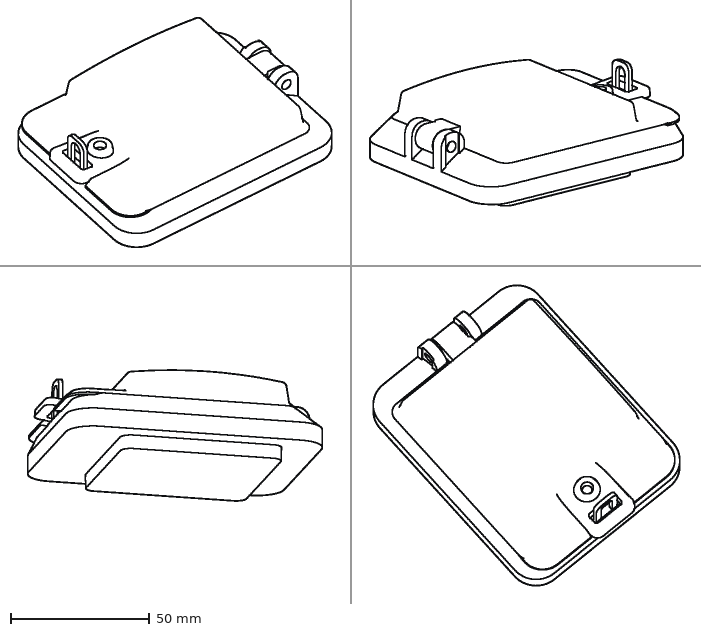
import cadquery as cq
import math

RIM_WIDTH = 75.2
RIM_LENGTH = 95.2
RIM_HEIGHT = 6.8
RIM_CORNER = 10.1
BACK_Y = RIM_LENGTH / 2
FRONT_Y = -RIM_LENGTH / 2
BASE_TOP_Z = 13.5
BASE_TOP_HALF_WIDTH = 34.3
BASE_TOP_FRONT_Y = -44.6
BASE_TOP_BACK_Y = 37.0
BASE_TOP_FRONT_CORNER = 9.5
BACK_CORNER = 4.1

SPIGOT_WIDTH = 58.5
SPIGOT_FRONT_Y = -26.9
SPIGOT_BACK_Y = 33.2
SPIGOT_DEPTH = 5.0
SPIGOT_CORNER = 4.0
SPIGOT_DRAFT = 2

HINGE_Y = 42.4
HINGE_Z = 15.0
HINGE_HOLE_DIAMETER = 4.0
EAR_INNER_X = 6.2
EAR_OUTER_X = 10.3
EAR_TOP_Z = 20.4
EAR_ROUND = 4.8
EAR_RIB_HEIGHT = 0.7
EAR_GROOVE_WIDTH = 6.1
ARM_LEFT_X = -5.2
ARM_RIGHT_X = 4.9
ARM_SHOULDER_X = 5.9
ARM_SHOULDER_Y = 38.1
ARM_TOP_Z = 19.7
ARM_RADIUS = ARM_TOP_Z - HINGE_Z
ARM_ROOT_Y = 32.4

STAPLE_WIDTH = 9.8
STAPLE_THICKNESS = 1.6
STAPLE_TOP_Z = 26.9
STAPLE_CORNER = 2.9
STAPLE_WINDOW_WIDTH = 5.2
STAPLE_WINDOW_TOP_Z = 24.9
STAPLE_FOOT_ROUND = 0.7

PLATE_FRONT_Y = FRONT_Y
PLATE_FRONT_CORNER = 8.5
LIP_Z = 12.8
PLATE_SHOULDER_Z = 14.1
PLATE_SHOULDER_INSET = 0.5
PLATE_TOP_Z = 15.7
PLATE_TOP_INSET = 2.5
PLATE_TOP_ROUND = 0.8

DOME_HALF_WIDTH = 32.2
DOME_FRONT_Y = -26.5
DOME_BACK_Y = 34.9
DOME_CORNER = 2
DOME_DRAFT = 7
DOME_TOP_Z = 25.8
DOME_CROWN_RADIUS = 186.5
DOME_TOP_ROUND = 2
DOME_FOOT_ROUND = 1.4
SEAM_TOLERANCE = 0.01

TAB_WIDTH = 19.9
TAB_TILT = 6.2
TAB_ROOT_Y = -27.3
TAB_LENGTH = 23.1
TAB_THICKNESS = 3.0
TAB_OVERLAP = 3.9
TAB_CORNER = 3.2
TAB_EDGE_ROUND = 1
SLOT_LENGTH = 12.7
SLOT_WIDTH = 4.9
SLOT_CORNER = 1
SLOT_DRAFT = 5
SLOT_Y = -43.8

BUTTON_Y = -33.7
BUTTON_FOOT_RADIUS = 4.9
BUTTON_TOP_RADIUS = 4.4
BUTTON_TOP_Z = 18.5
BUTTON_ROUND = 0.4
BUTTON_HOLE_TOP_DIAMETER = 4.5
BUTTON_HOLE_BOTTOM_DIAMETER = 3.5
BUTTON_HOLE_DEPTH = 2.5


def outline(half_width, front_y, back_y, front_corner, back_corner, z):
    """Closed wire of a rectangle whose front and back corners have their own radii."""
    diagonal = 1 - math.sqrt(0.5)
    front_mid = front_corner * diagonal
    back_mid = back_corner * diagonal
    sketch = (
        cq.Workplane("XY", origin=(0, 0, z))
        .moveTo(-half_width + front_corner, front_y)
        .lineTo(half_width - front_corner, front_y)
        .threePointArc((half_width - front_mid, front_y + front_mid), (half_width, front_y + front_corner))
        .lineTo(half_width, back_y - back_corner)
        .threePointArc((half_width - back_mid, back_y - back_mid), (half_width - back_corner, back_y))
        .lineTo(-half_width + back_corner, back_y)
        .threePointArc((-half_width + back_mid, back_y - back_mid), (-half_width, back_y - back_corner))
        .lineTo(-half_width, front_y + front_corner)
        .threePointArc((-half_width + front_mid, front_y + front_mid), (-half_width + front_corner, front_y))
        .close()
    )
    return sketch.val()


def ruled_solid(*wires):
    """Solid with straight walls through a stack of outlines."""
    return cq.Workplane(cq.Solid.makeLoft(list(wires), True))


def box(x_min, x_max, y_min, y_max, z_min, z_max):
    return cq.Workplane("XY").box(
        x_max - x_min, y_max - y_min, z_max - z_min, centered=False
    ).translate((x_min, y_min, z_min))


def hinge_bore():
    """Hinge hole, running on past the ears on both sides."""
    return (
        cq.Workplane("YZ").center(HINGE_Y, HINGE_Z)
        .circle(HINGE_HOLE_DIAMETER / 2).extrude(RIM_WIDTH / 2, both=True)
    )


def hinge_ears():
    left = box(-EAR_OUTER_X - EAR_RIB_HEIGHT, -EAR_INNER_X, BASE_TOP_BACK_Y, BACK_Y, RIM_HEIGHT, EAR_TOP_Z)
    right = box(EAR_INNER_X, EAR_OUTER_X, BASE_TOP_BACK_Y, BACK_Y, RIM_HEIGHT, EAR_TOP_Z)
    ears = left.union(right).edges("|X and >Z").fillet(EAR_ROUND)
    groove = box(
        -EAR_OUTER_X - EAR_RIB_HEIGHT, -EAR_OUTER_X,
        HINGE_Y - EAR_GROOVE_WIDTH / 2, HINGE_Y + EAR_GROOVE_WIDTH / 2,
        RIM_HEIGHT, EAR_TOP_Z,
    )
    return ears.cut(groove).cut(hinge_bore())


def padlock_staple():
    back_plane = cq.Workplane("XZ", origin=(0, BASE_TOP_FRONT_Y + STAPLE_THICKNESS, 0))
    half_width = STAPLE_WIDTH / 2
    half_foot = half_width + STAPLE_FOOT_ROUND
    corner_z = STAPLE_TOP_Z - STAPLE_CORNER
    half_top = half_width - STAPLE_CORNER
    foot_z = BASE_TOP_Z + STAPLE_FOOT_ROUND
    staple = (
        back_plane
        .moveTo(-half_foot, BASE_TOP_Z)
        .lineTo(half_foot, BASE_TOP_Z)
        .radiusArc((half_width, foot_z), STAPLE_FOOT_ROUND)
        .lineTo(half_width, corner_z)
        .radiusArc((half_top, STAPLE_TOP_Z), -STAPLE_CORNER)
        .lineTo(-half_top, STAPLE_TOP_Z)
        .radiusArc((-half_width, corner_z), -STAPLE_CORNER)
        .lineTo(-half_width, foot_z)
        .radiusArc((-half_foot, BASE_TOP_Z), STAPLE_FOOT_ROUND)
        .close()
        .extrude(STAPLE_THICKNESS)
    )
    half_window = STAPLE_WINDOW_WIDTH / 2
    arch_z = STAPLE_WINDOW_TOP_Z - half_window
    window = (
        back_plane
        .moveTo(-half_window, BASE_TOP_Z)
        .lineTo(half_window, BASE_TOP_Z)
        .lineTo(half_window, arch_z)
        .threePointArc((0, STAPLE_WINDOW_TOP_Z), (-half_window, arch_z))
        .close()
        .extrude(STAPLE_THICKNESS)
    )
    return staple.cut(window)


def make_base():
    rim_half = RIM_WIDTH / 2
    rim_top = outline(rim_half, FRONT_Y, BACK_Y, RIM_CORNER, RIM_CORNER, RIM_HEIGHT)
    rim = ruled_solid(outline(rim_half, FRONT_Y, BACK_Y, RIM_CORNER, RIM_CORNER, 0), rim_top)
    bevel = ruled_solid(
        rim_top,
        outline(
            BASE_TOP_HALF_WIDTH, BASE_TOP_FRONT_Y, BASE_TOP_BACK_Y,
            BASE_TOP_FRONT_CORNER, BACK_CORNER, BASE_TOP_Z,
        ),
    )
    spigot = (
        cq.Workplane("XY")
        .center(0, (SPIGOT_FRONT_Y + SPIGOT_BACK_Y) / 2)
        .sketch().rect(SPIGOT_WIDTH, SPIGOT_BACK_Y - SPIGOT_FRONT_Y)
        .vertices().fillet(SPIGOT_CORNER).finalize()
        .extrude(-SPIGOT_DEPTH, taper=SPIGOT_DRAFT)
    )
    return rim.union(bevel).union(spigot).union(hinge_ears()).union(padlock_staple())


def plate_outline(inset, z):
    return outline(
        BASE_TOP_HALF_WIDTH - inset, PLATE_FRONT_Y + inset, BASE_TOP_BACK_Y - inset,
        PLATE_FRONT_CORNER - inset, BACK_CORNER - inset, z,
    )


def lid_plate():
    lip_top = plate_outline(0, BASE_TOP_Z)
    shoulder = plate_outline(PLATE_SHOULDER_INSET, PLATE_SHOULDER_Z)
    lip = ruled_solid(plate_outline(0, LIP_Z), lip_top)
    edge = ruled_solid(lip_top, shoulder)
    slope = ruled_solid(shoulder, plate_outline(PLATE_TOP_INSET, PLATE_TOP_Z))
    return lip.union(edge).union(slope).faces(">Z").edges().fillet(PLATE_TOP_ROUND)


def dome():
    middle_y = (DOME_FRONT_Y + DOME_BACK_Y) / 2
    foot_z = PLATE_TOP_Z - PLATE_TOP_ROUND
    block = (
        cq.Workplane("XY", origin=(0, middle_y, foot_z))
        .rect(2 * DOME_HALF_WIDTH, DOME_BACK_Y - DOME_FRONT_Y)
        .extrude(DOME_TOP_Z - foot_z, taper=DOME_DRAFT)
    )
    crown = (
        cq.Workplane("YZ").center(middle_y, DOME_TOP_Z - DOME_CROWN_RADIUS)
        .circle(DOME_CROWN_RADIUS).extrude(DOME_HALF_WIDTH, both=True)
    )
    return (
        block.intersect(crown)
        .edges("%LINE").edges("not #Z").fillet(DOME_CORNER)
        .faces(">Z").edges().fillet(DOME_TOP_ROUND)
    )


def domed_plate():
    """Plate and dome, with the seam around the dome's foot rounded."""
    raised = dome()
    body = lid_plate().union(raised)

    def is_seam(edge):
        points = [cq.Vertex.makeVertex(*edge.positionAt(t).toTuple()) for t in (0, 0.5, 1)]
        near_foot = edge.BoundingBox().zmax < PLATE_TOP_Z + SEAM_TOLERANCE
        return near_foot and all(raised.val().distance(point) < SEAM_TOLERANCE for point in points)

    return body.edges().filter(is_seam).fillet(DOME_FOOT_ROUND)


def hinge_arm():
    barrel = (
        cq.Workplane("YZ", origin=(ARM_LEFT_X, 0, 0)).center(HINGE_Y, HINGE_Z)
        .circle(ARM_RADIUS).extrude(ARM_RIGHT_X - ARM_LEFT_X)
    )
    shoulder_width = ARM_SHOULDER_X - ARM_RIGHT_X
    web = (
        cq.Workplane("XY", origin=(0, 0, BASE_TOP_Z))
        .polyline([
            (ARM_LEFT_X, ARM_ROOT_Y),
            (ARM_SHOULDER_X, ARM_ROOT_Y),
            (ARM_SHOULDER_X, ARM_SHOULDER_Y - shoulder_width),
            (ARM_RIGHT_X, ARM_SHOULDER_Y),
            (ARM_RIGHT_X, HINGE_Y),
            (ARM_LEFT_X, HINGE_Y),
        ]).close()
        .extrude(ARM_TOP_Z - BASE_TOP_Z)
    )
    return barrel.union(web).cut(hinge_bore())


def tab_workplane(y):
    """Sketch plane on the tab's tilted upper face at the given Y, facing up out of the tab."""
    tilt = math.radians(TAB_TILT)
    rise = (TAB_ROOT_Y - y) * math.tan(tilt)
    plane = cq.Plane(
        origin=(0, y, PLATE_TOP_Z + rise), xDir=(1, 0, 0), normal=(0, math.sin(tilt), math.cos(tilt))
    )
    return cq.Workplane(plane)


def tab_slab(thickness):
    """Plain tilted slab that hangs from the tab's upper face."""
    reach = TAB_LENGTH + TAB_OVERLAP
    return (
        tab_workplane(TAB_ROOT_Y).center(0, TAB_OVERLAP - reach / 2)
        .rect(TAB_WIDTH, reach).extrude(-thickness)
    )


def latch_tab():
    upward = tab_workplane(TAB_ROOT_Y).plane.zDir
    upright_edges = cq.selectors.ParallelDirSelector(upward)
    upper_face = cq.selectors.DirectionMinMaxSelector(upward, True)
    tab = tab_slab(TAB_THICKNESS).edges(upright_edges).edges("<Y").fillet(TAB_CORNER)
    return tab.faces(upper_face).edges("not >Y").fillet(TAB_EDGE_ROUND)


def tab_slot():
    return (
        tab_workplane(SLOT_Y)
        .sketch().rect(SLOT_LENGTH, SLOT_WIDTH).vertices().fillet(SLOT_CORNER).finalize()
        .extrude(-TAB_THICKNESS, taper=SLOT_DRAFT)
    )


def tab_clearance():
    """Space below the tab, where the plate is cut away down to the base."""
    deep_slab = tab_slab(TAB_THICKNESS + PLATE_TOP_Z)
    above_base = box(
        -TAB_WIDTH / 2, TAB_WIDTH / 2, PLATE_FRONT_Y - TAB_LENGTH, TAB_ROOT_Y, LIP_Z, PLATE_TOP_Z + TAB_LENGTH
    )
    return deep_slab.intersect(above_base).cut(tab_slab(TAB_THICKNESS))


def seal_button():
    height = BUTTON_TOP_Z - PLATE_TOP_Z
    body = cq.Workplane(
        cq.Solid.makeCone(BUTTON_FOOT_RADIUS, BUTTON_TOP_RADIUS, height, cq.Vector(0, BUTTON_Y, PLATE_TOP_Z))
    )
    return body.faces(">Z").edges().fillet(BUTTON_ROUND)


def button_hole():
    """Blind tapered hole in the top of the button."""
    return cq.Workplane(
        cq.Solid.makeCone(
            BUTTON_HOLE_BOTTOM_DIAMETER / 2, BUTTON_HOLE_TOP_DIAMETER / 2, BUTTON_HOLE_DEPTH,
            cq.Vector(0, BUTTON_Y, BUTTON_TOP_Z - BUTTON_HOLE_DEPTH),
        )
    )


def make_lid(base):
    """Lid whose underside and lip rest on the base."""
    body = domed_plate()
    body = body.cut(tab_clearance()).union(latch_tab()).cut(tab_slot())
    body = body.union(seal_button()).cut(button_hole())
    return body.union(hinge_arm()).cut(base)


base = make_base()
lid = make_lid(base)
result = cq.Compound.makeCompound([base.val(), lid.val()])